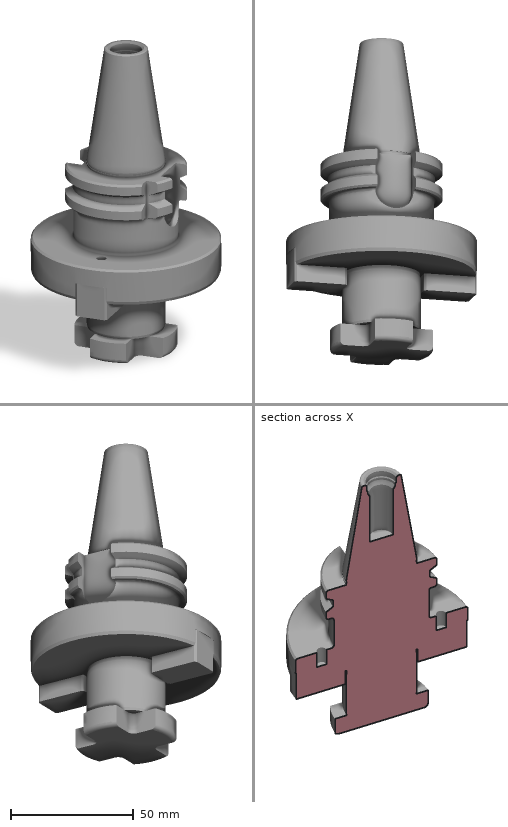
import cadquery as cq
import math

total_height = 130.8
screw_top = 9.0
disc_bottom = 33.0
disc_top = 48.0
flange_bottom = 64.0
flange_top = 79.9
taper_bottom = 81.9

taper_ratio = 7 / 24
taper_radius = 16.1
tip_radius = taper_radius - (total_height - taper_bottom) * taper_ratio / 2
tip_chamfer = 0.4
relief_radius = 15.8
relief_bottom = 80.7
relief_top = 81.4

flange_diameter = 50.1
flange_radius = flange_diameter / 2
flange_chamfer = 0.8
groove_radius = 22.0
groove_mid = 72.0
groove_floor_height = 3.4
groove_mouth_height = 7.0

neck_radius = 21.6
neck_fillet = 1.0
disc_radius = 39.0
disc_chamfer = 0.8
disc_bottom_chamfer_radial = 0.5
disc_bottom_chamfer_height = 1.3

arbor_radius = 16.1
arbor_relief_depth = 0.3
arbor_relief_height = 1.2
arbor_relief_taper_height = 0.8
arbor_chamfer_height = 1.0

slot_width = 16.2
slot_end_z = 63.8
left_slot_floor = 16.2
right_slot_floor = 18.6

notch_offset = 15.0

key_width = 13.9
key_inner = 16.4
key_outer = 38.6
key_bottom = 25.9
key_top = 40.2
key_chamfer = 0.9

pin_hole_radius = 2.1
pin_hole_offset = 27.0

screw_diameter = 42.2
screw_radius = screw_diameter / 2
screw_arm_width = 16.0
screw_corner_fillet = 2.7
screw_edge_fillet = 1.8

bore_mouth_radius = 7.3
bore_radius = 6.5
step_radius = 6.1
thread_radius = 5.1
bore_mouth_depth = bore_mouth_radius - bore_radius
bore_depth = 3.5
step_top_depth = bore_depth + bore_radius - step_radius
step_depth = 5.1
cone_half_angle = math.radians(30)
thread_top_depth = step_depth + (step_radius - thread_radius) / math.tan(cone_half_angle)
thread_depth = 31.4


def make_body():
    """Turned body: arbor, disc, neck, grooved flange and taper in one revolved profile."""
    arc_offset = neck_fillet * (1 - math.sqrt(0.5))
    groove_floor_half = groove_floor_height / 2
    groove_mouth_half = groove_mouth_height / 2
    arbor_relief_radius = arbor_radius - arbor_relief_depth
    return (
        cq.Workplane("YZ")
        .moveTo(0, screw_top)
        .lineTo(arbor_relief_radius, screw_top)
        .lineTo(arbor_radius, screw_top + arbor_chamfer_height)
        .lineTo(arbor_radius, disc_bottom - arbor_relief_height - arbor_relief_taper_height)
        .lineTo(arbor_relief_radius, disc_bottom - arbor_relief_height)
        .lineTo(arbor_relief_radius, disc_bottom)
        .lineTo(disc_radius - disc_bottom_chamfer_radial, disc_bottom)
        .lineTo(disc_radius, disc_bottom + disc_bottom_chamfer_height)
        .lineTo(disc_radius, disc_top - disc_chamfer)
        .lineTo(disc_radius - disc_chamfer, disc_top)
        .lineTo(neck_radius + neck_fillet, disc_top)
        .threePointArc(
            (neck_radius + arc_offset, disc_top + arc_offset),
            (neck_radius, disc_top + neck_fillet),
        )
        .lineTo(neck_radius, flange_bottom - neck_fillet)
        .threePointArc(
            (neck_radius + arc_offset, flange_bottom - arc_offset),
            (neck_radius + neck_fillet, flange_bottom),
        )
        .lineTo(flange_radius - flange_chamfer, flange_bottom)
        .lineTo(flange_radius, flange_bottom + flange_chamfer)
        .lineTo(flange_radius, groove_mid - groove_mouth_half)
        .lineTo(groove_radius, groove_mid - groove_floor_half)
        .lineTo(groove_radius, groove_mid + groove_floor_half)
        .lineTo(flange_radius, groove_mid + groove_mouth_half)
        .lineTo(flange_radius, flange_top - flange_chamfer)
        .lineTo(flange_radius - flange_chamfer, flange_top)
        .lineTo(taper_radius, flange_top)
        .lineTo(taper_radius, relief_bottom)
        .lineTo(relief_radius, relief_bottom)
        .lineTo(relief_radius, relief_top)
        .lineTo(taper_radius, relief_top)
        .lineTo(taper_radius, taper_bottom)
        .lineTo(tip_radius, total_height - tip_chamfer)
        .lineTo(tip_radius - tip_chamfer, total_height)
        .lineTo(0, total_height)
        .close()
        .revolve(360, (0, 0, 0), (0, 1, 0))
    )


def make_tip_bore():
    """Stepped bore: chamfered mouth, pilot bore, narrower step, cone and threaded-hole core."""
    return (
        cq.Workplane("YZ")
        .moveTo(0, total_height)
        .lineTo(bore_mouth_radius, total_height)
        .lineTo(bore_radius, total_height - bore_mouth_depth)
        .lineTo(bore_radius, total_height - bore_depth)
        .lineTo(step_radius, total_height - step_top_depth)
        .lineTo(step_radius, total_height - step_depth)
        .lineTo(thread_radius, total_height - thread_top_depth)
        .lineTo(thread_radius, total_height - thread_depth)
        .lineTo(0, total_height - thread_depth)
        .close()
        .revolve(360, (0, 0, 0), (0, 1, 0))
    )


def make_drive_slot(floor, side):
    """Round-ended slot cut inward along X to the given floor distance; side is -1 or 1."""
    half_width = slot_width / 2
    return (
        cq.Workplane("YZ")
        .workplane(offset=side * floor)
        .moveTo(-half_width, flange_top)
        .lineTo(-half_width, slot_end_z)
        .threePointArc((0, slot_end_z - half_width), (half_width, slot_end_z))
        .lineTo(half_width, flange_top)
        .close()
        .extrude(side * (flange_radius - floor))
    )


def make_corner_notch():
    """Square notch through the flange thickness at its +X, -Y corner."""
    notch_bottom = flange_bottom - neck_fillet
    size = flange_radius - notch_offset
    return cq.Workplane("XY").box(
        size, size, flange_top - notch_bottom, centered=False
    ).translate((notch_offset, -flange_radius, notch_bottom))


def make_key_block(outer, bottom):
    """Block on the +Y side, from the key's inner end out to the given distance."""
    return cq.Workplane("XY").box(
        key_width, outer - key_inner, key_top - bottom, centered=(True, False, False)
    ).translate((0, key_inner, bottom))


def make_pin_hole():
    """Hole on the +Y side, from the disc's upper face down to the key seat."""
    return (
        cq.Workplane("XY", origin=(0, pin_hole_offset, key_top))
        .circle(pin_hole_radius)
        .extrude(disc_top - key_top)
    )


def make_screw_head():
    """Four-armed screw head with rounded inner corners and a rounded lower rim."""
    arm_x = cq.Workplane("XY").box(
        2 * screw_radius, screw_arm_width, screw_top, centered=(True, True, False)
    )
    arm_y = arm_x.rotate((0, 0, 0), (0, 0, 1), 90)
    inner_corner = cq.selectors.BoxSelector(
        (-screw_arm_width, -screw_arm_width, 0),
        (screw_arm_width, screw_arm_width, screw_top),
    )
    cross = arm_x.union(arm_y).edges("|Z").edges(inner_corner).fillet(screw_corner_fillet)
    rim = (
        cq.Workplane("XY")
        .circle(screw_radius)
        .extrude(screw_top)
        .faces("<Z")
        .edges()
        .fillet(screw_edge_fillet)
    )
    return cross.intersect(rim)


result = make_body().union(make_screw_head())
result = result.cut(make_tip_bore())
result = result.cut(make_drive_slot(left_slot_floor, -1))
result = result.cut(make_drive_slot(right_slot_floor, 1))
result = result.cut(make_corner_notch())

key_seat = make_key_block(disc_radius, disc_bottom)
key = make_key_block(key_outer, key_bottom).edges("|Z").chamfer(key_chamfer)
pin_hole = make_pin_hole()
for angle in (0, 180):
    axis = ((0, 0, 0), (0, 0, 1), angle)
    result = result.cut(key_seat.rotate(*axis))
    result = result.union(key.rotate(*axis))
    result = result.cut(pin_hole.rotate(*axis))